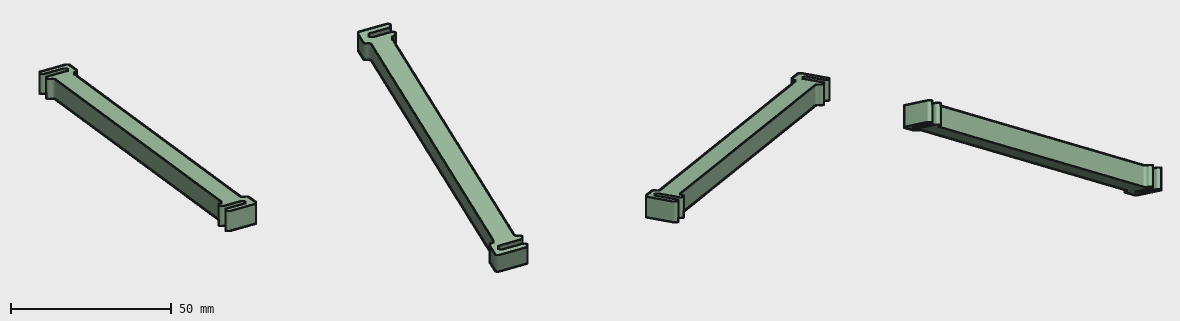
import cadquery as cq

total_length = 112.0
bar_width = 7.0
thickness = 7.0
corner_radius = 1.0
prong_width = 2.0
slot_width = 2.0
left_slot_roof = 2.0
right_slot_roof = 2.75

head_overhang = 2 * corner_radius
head_length = 2 * prong_width + slot_width
head_half_width = bar_width / 2 + head_overhang
tip_radius = prong_width / 2
slot_radius = slot_width / 2

outer_x = total_length / 2
slot_outer_x = outer_x - prong_width
slot_inner_x = slot_outer_x - slot_width
inner_x = outer_x - head_length
root_x = inner_x - corner_radius


def make_head(slot_roof):
    """Clip head of the +X end: two round-tipped prongs toward -Y with a round-ended slot between them."""
    top_y = head_half_width
    tip_center_y = tip_radius - head_half_width
    slot_center_y = top_y - slot_roof - slot_radius
    return (
        cq.Workplane("XY", origin=(0, 0, -thickness / 2))
        .moveTo(root_x, -bar_width / 2)
        .lineTo(root_x, bar_width / 2)
        .radiusArc((inner_x, top_y - corner_radius), -corner_radius)
        .tangentArcPoint((inner_x + corner_radius, top_y), relative=False)
        .lineTo(outer_x - corner_radius, top_y)
        .tangentArcPoint((outer_x, top_y - corner_radius), relative=False)
        .lineTo(outer_x, tip_center_y)
        .tangentArcPoint((slot_outer_x, tip_center_y), relative=False)
        .lineTo(slot_outer_x, slot_center_y)
        .tangentArcPoint((slot_inner_x, slot_center_y), relative=False)
        .lineTo(slot_inner_x, tip_center_y)
        .tangentArcPoint((inner_x, tip_center_y), relative=False)
        .tangentArcPoint((root_x, -bar_width / 2), relative=False)
        .close()
        .extrude(thickness)
    )


bar = cq.Workplane("XY").box(2 * root_x, bar_width, thickness)
right_head = make_head(right_slot_roof)
left_head = make_head(left_slot_roof).mirror("YZ")

result = bar.union(right_head).union(left_head).clean()